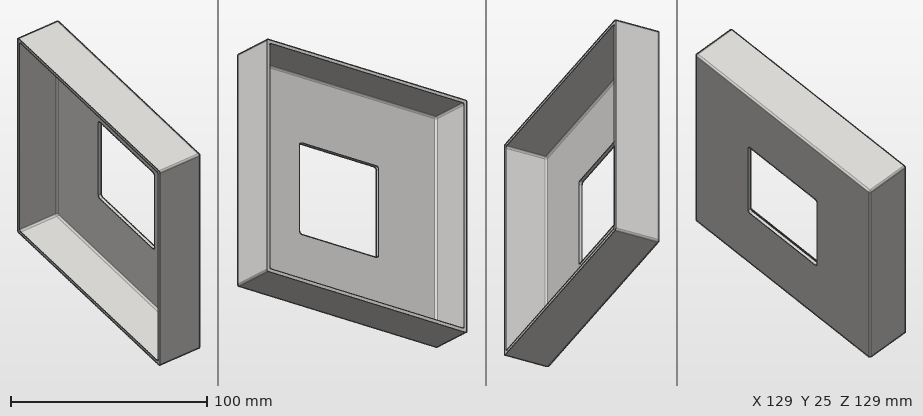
import cadquery as cq

side = 129.0
depth = 25.0
thickness = 1.9

opening_side = 50.8
opening_corner_radius = 1.5

edge_radius = 1.0

front_y = -depth / 2
back_y = depth / 2
floor_y = back_y - thickness


def square_block(width, end_y, corner_radius):
    """Square prism from the front plane to end_y, with its edges along Y rounded."""
    length = end_y - front_y
    block = cq.Workplane("XY").box(width, length, width)
    return block.edges("|Y").fillet(corner_radius).translate((0, front_y + length / 2, 0))


def block_with_rounded_end(width, end_y):
    """Square prism whose rim at end_y is rounded as well."""
    block = square_block(width, end_y, edge_radius)
    return block.faces(">Y").edges().fillet(edge_radius)


body = block_with_rounded_end(side, back_y)

cavity = block_with_rounded_end(side - 2 * thickness, floor_y)

opening = square_block(opening_side, back_y, opening_corner_radius)

result = body.cut(cavity).cut(opening)